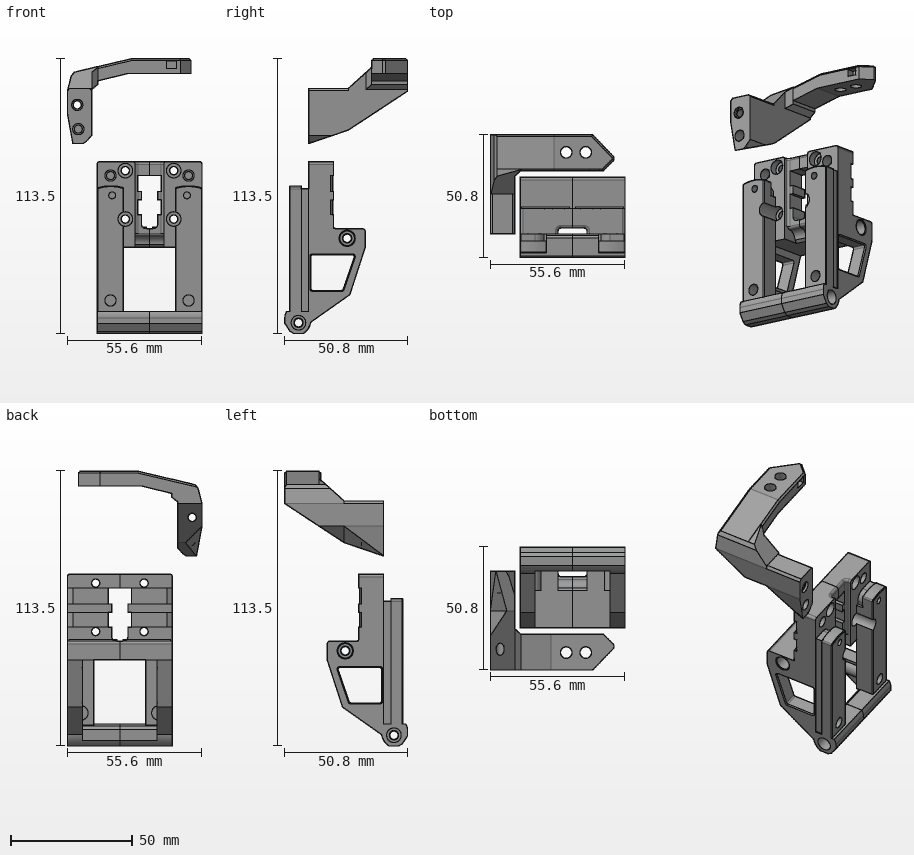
import cadquery as cq
import math


half_width = 21.7
frame_top = 71.1
plate_back = 10.3
block_back = 23.4
block_top = 43.4
block_bottom = 35.6
edge_round = 1.1

leg_thickness = 6.2
leg_knee = (17.0, 16.1)
leg_toe = (0.9, 4.8)
leg_window = [(0.9, 32.5), (19.1, 32.5), (14.1, 17.9), (0.9, 17.9)]
window_corner_radius = 0.7
window_chamfer = 0.5

barrel_axis = (-4.2, 4.5)
barrel_top = 9.2
barrel_front = -9.9

pad_front = -3.0
pad_top = 59.9
pad_inset = 0.5
pad_bottom = 8.9
pad_nose_inner = 11.7
pad_nose_radius = 3.9
pad_nose_bottom = 54.5

post_inner = 10.7
post_front = -8.0
post_outer_top = 60.2
post_crown = (15.7, 61.1)
post_inner_top = 60.3
post_corner_radius = 0.7
post_edge_chamfer = 0.3

channel_half_width = 5.9
channel_depth = 2.3
channel_corner_radius = 1.1
undercut_lip = 1.1
undercut_radius = 3.5
undercut_chamfer = 1.1
groove_depth = 0.3
groove_end_depth = 1.2
groove_ramp = 2.3
upper_groove = (58.8, 65.3)
lower_groove = (49.2, 55.3)
slot_half_width = 3.3
slot_corner_radius = 1.8
foot_size = 0.7
foot_inner = 1.2
foot_end_gap = 0.7

screw_diameter = 3.3
head_diameter = 6.0
head_depth = 3.4
plate_screw_pitch = 20.0
plate_screw_top = 67.3
insert_diameter = 4.7
insert_depth = 5.7
insert_pilot_depth = 9.1
insert_offset = 16.1
plate_insert_height = 65.3
post_insert_height = 13.7
post_insert_depth = 10.2
boss_diameter = 6.0
boss_back = 8.0
post_pin_diameter = 2.8
post_pin_depth = 4.5
post_pin_place = (15.4, 57.1)
cross_hole_diameter = 3.4
cross_hole_chamfer = 0.2
cross_head_depth = 5.7
block_hole_axis = (15.9, 39.4)
block_hole_chamfer = 0.3

arm_left = -33.9
arm_top = 113.5
arm_back = 40.9
arm_front = 26.0
column_right = -23.8
column_depth = 16.3
column_bottom = 78.4
column_top = 101.3
arm_bend_x = -7.6
arm_underside_bend_x = -8.9
arm_underside = 107.4
arm_edge_chamfer = 0.8
inner_corner_x = -21.3
knee_height = 84.0
facet_height = 90.8
facet_inner = -27.2
toe_left = -31.7
column_edge_chamfer = 0.9
column_shoulder_z = 100.8
inner_corner_z = 102.8
arm_left_z = 100.1
beam_heel = [(arm_left, arm_left_z), (-32.4, 106.4), (-31.1, 108.0)]
beam_top_at_corner = 110.3
corner_blend = 2.3
shoulder_slope = 0.9
arm_hole_diameter = 4.7
arm_hole_places = [(-2.6, 33.6), (5.5, 33.6)]
column_through_hole = (-29.9, 94.5)
column_insert_hole = (-29.4, 84.5)
column_recess_depth = 1.1
pocket_x = (7.0, 11.1)
pocket_z = (109.5, 112.5)
pocket_depth = 3.4


def box(x_range, y_range, z_range):
    """Axis-aligned block between pairs of limits."""
    size = [high - low for low, high in (x_range, y_range, z_range)]
    corner = (x_range[0], y_range[0], z_range[0])
    return cq.Workplane("XY").box(*size, centered=False).translate(corner)


def along_x(points, x_from, x_to):
    """Prism along X from a closed (Y, Z) outline."""
    return cq.Workplane("YZ", origin=(x_from, 0, 0)).polyline(points).close().extrude(x_to - x_from)


def along_y(points, y_from, y_to):
    """Prism along Y from a closed (X, Z) outline."""
    return cq.Workplane("XZ", origin=(0, y_from, 0)).polyline(points).close().extrude(y_from - y_to)


def along_z(points, z_from, z_to):
    """Prism along Z from a closed (X, Y) outline."""
    return cq.Workplane("XY", origin=(0, 0, z_from)).polyline(points).close().extrude(z_to - z_from)


def rod_y(place, diameter, y_from, y_to):
    """Cylinder along Y centred on an (X, Z) place."""
    return cq.Workplane("XZ", origin=(0, y_from, 0)).center(*place).circle(diameter / 2).extrude(y_from - y_to)


def rod_x(place, diameter, x_from, x_to):
    """Cylinder along X centred on a (Y, Z) place."""
    return cq.Workplane("YZ", origin=(x_from, 0, 0)).center(*place).circle(diameter / 2).extrude(x_to - x_from)


def plate_and_block():
    plate = box((0, half_width), (0, plate_back), (block_bottom, frame_top))
    plate = plate.edges("|Y and >X and >Z").fillet(edge_round)
    block = box((0, half_width), (0, block_back), (block_bottom, block_top))
    block = block.edges("|X and >Y and >Z").fillet(edge_round)
    foot_outline = [
        (plate_back, block_top),
        (plate_back + foot_size, block_top),
        (plate_back, block_top + foot_size),
    ]
    foot = along_x(foot_outline, foot_inner, half_width - foot_end_gap)
    return plate.union(block).union(foot)


def leg():
    outline = [
        (0, block_bottom),
        (block_back, block_bottom),
        leg_knee,
        leg_toe,
        barrel_axis,
        (barrel_axis[0], barrel_top),
        (0, barrel_top),
    ]
    inner = half_width - leg_thickness
    plate_side = along_x(outline, inner, half_width)
    opening = along_x(leg_window, inner, half_width).edges("|X").fillet(window_corner_radius)
    plate_side = plate_side.cut(opening)
    rim = plate_side.faces(">X").edges(cq.selectors.BoxSelector((inner, 0.6, 17), (half_width + 1.1, 19.3, 32.9)))
    plate_side = plate_side.newObject(rim.vals()).chamfer(window_chamfer)
    boss_place = (insert_offset, post_insert_height)
    boss = rod_y(boss_place, boss_diameter, 0, boss_back)
    return plate_side.union(boss)


def barrel():
    profile = (
        cq.Workplane("YZ")
        .moveTo(0.9, 4.8)
        .threePointArc((-0.3, 1.8), (-2.3, 0))
        .lineTo(-6.1, 0)
        .lineTo(-7.7, 1.0)
        .lineTo(barrel_front, 4.3)
        .lineTo(barrel_front, 6.6)
        .threePointArc((-9.6, 8.1), (-9.1, barrel_top))
        .lineTo(0, barrel_top)
        .lineTo(0, 4.8)
        .close()
        .extrude(half_width)
    )
    inner = half_width - leg_thickness
    behind = box((0, inner), (0, plate_back), (0, barrel_top))
    corner = [
        (0, barrel_top),
        (-1.8, barrel_top),
        (-0.8, 8.3),
        (0, 6.8),
    ]
    return profile.cut(behind).cut(along_x(corner, 0, inner))


def pad():
    outer = half_width - pad_inset
    body = box((post_inner, outer), (pad_front, 0), (pad_bottom, pad_nose_bottom))
    nose = box((pad_nose_inner, outer), (pad_front, 0), (pad_nose_bottom, pad_top))
    nose = nose.edges("|Y and <X and >Z").fillet(pad_nose_radius)
    return body.union(nose)


def post():
    body = (
        cq.Workplane("XZ", origin=(0, pad_front, 0))
        .moveTo(half_width, barrel_top)
        .lineTo(half_width, post_outer_top)
        .threePointArc(post_crown, (post_inner, post_inner_top))
        .lineTo(post_inner, barrel_top)
        .close()
        .extrude(pad_front - post_front)
    )
    top_corners = cq.selectors.BoxSelector(
        (0, post_front, post_outer_top - 0.2), (half_width + 1.1, pad_front, post_inner_top + 0.2)
    )
    body = body.newObject(body.edges("|Y").edges(top_corners).vals()).fillet(post_corner_radius)
    return body.edges("|Z and >X and <Y").chamfer(post_edge_chamfer)


def channel():
    corner = channel_corner_radius
    trough = box((-channel_half_width, channel_half_width), (0, channel_depth), (block_bottom, frame_top))
    trough = trough.edges("|Z and >Y").fillet(corner)
    lip_end = channel_depth + undercut_lip
    back = lip_end + undercut_radius
    chamfer_top = block_bottom + undercut_chamfer
    roof = chamfer_top + undercut_radius
    diagonal = math.sqrt(0.5)
    undercut = (
        cq.Workplane("YZ", origin=(-channel_half_width, 0, 0))
        .moveTo(0, block_bottom)
        .lineTo(back + undercut_chamfer, block_bottom)
        .lineTo(back, chamfer_top)
        .threePointArc(
            (lip_end + undercut_radius * diagonal, chamfer_top + undercut_radius * diagonal),
            (lip_end, roof),
        )
        .threePointArc(
            (lip_end - undercut_lip * diagonal, roof + undercut_lip * (1 - diagonal)),
            (channel_depth, roof + undercut_lip),
        )
        .lineTo(0, roof + undercut_lip)
        .close()
        .extrude(2 * channel_half_width)
    )
    return trough.union(undercut)


def round_channel_mouth(body):
    """Round the rim where the channel opens through the frame top."""
    reach = (channel_half_width + 0.1, channel_depth + 0.1, frame_top + 0.1)
    rim = body.edges(cq.selectors.BoxSelector((-0.1, 0.1, frame_top - 0.1), reach))
    return body.newObject(rim.vals()).fillet(edge_round)


def back_openings():
    floor_half_width = channel_half_width - channel_corner_radius
    shallow = [
        (0, plate_back),
        (0, plate_back - groove_depth),
        (half_width - groove_ramp, plate_back - groove_depth),
        (half_width, plate_back - groove_end_depth),
        (half_width, plate_back),
    ]
    slot = box((-slot_half_width, slot_half_width), (0, plate_back), (block_top, upper_groove[1]))
    slot = slot.edges("|Y and <Z").fillet(slot_corner_radius)
    for groove in (upper_groove, lower_groove):
        slot = slot.union(box((0, floor_half_width), (0, plate_back), groove))
        slot = slot.union(along_z(shallow, *groove))
    return slot


def plate_screw_holes(body):
    for height in (plate_screw_top, plate_screw_top - plate_screw_pitch):
        place = (plate_screw_pitch / 2, height)
        body = body.cut(rod_y(place, screw_diameter, 0, plate_back))
        body = body.cut(rod_y(place, head_diameter, post_front, head_depth))
    return body


def insert_holes(body):
    plate_place = (insert_offset, plate_insert_height)
    body = body.cut(rod_y(plate_place, insert_diameter, 0, insert_depth))
    body = body.cut(rod_y(plate_place, screw_diameter, 0, insert_pilot_depth))
    post_place = (insert_offset, post_insert_height)
    body = body.cut(rod_y(post_place, insert_diameter, post_front, post_front + post_insert_depth))
    return body.cut(rod_y(post_pin_place, post_pin_diameter, post_front, post_front + post_pin_depth))


def cone_x(place, diameter, x_outer, depth):
    """45-degree countersink along X, widest at x_outer, for a hole of the given diameter."""
    rim = cq.Workplane("YZ", origin=(x_outer, 0, 0)).center(*place).circle(diameter / 2 + depth)
    return rim.workplane(offset=-depth).circle(diameter / 2).loft()


def cross_holes(body):
    head_floor = half_width - cross_head_depth
    for place in (block_hole_axis, barrel_axis):
        body = body.cut(rod_x(place, cross_hole_diameter, 0, half_width))
        body = body.cut(rod_x(place, head_diameter, head_floor, half_width))
        body = body.cut(cone_x(place, cross_hole_diameter, head_floor, cross_hole_chamfer))
    return body.cut(cone_x(block_hole_axis, head_diameter, half_width, block_hole_chamfer))


def frame_half():
    body = plate_and_block().union(leg()).union(barrel()).union(pad()).union(post())
    body = body.cut(channel()).cut(back_openings())
    body = round_channel_mouth(body)
    body = plate_screw_holes(body)
    body = insert_holes(body)
    return cross_holes(body)


def beam():
    """Bent beam with a pointed tip and chamfered upper edges."""
    outline = [
        *beam_heel,
        (arm_bend_x, arm_top),
        (22.7, arm_top),
        (22.7, arm_underside),
        (arm_underside_bend_x, arm_underside),
        (inner_corner_x, 104.3),
        (inner_corner_x, inner_corner_z),
        (column_right, column_shoulder_z),
    ]
    plan = [
        (arm_left, arm_front),
        (arm_left, arm_back),
        (8.3, arm_back),
        (17.1, 31.7),
        (17.1, 30.4),
        (12.7, arm_front),
    ]
    body = along_y(outline, arm_front, arm_back)
    body = body.intersect(along_z(plan, 0, arm_top))
    return body


def chamfered_beam():
    body = beam()
    rim = []
    for edge in body.edges().vals():
        middle = edge.Center()
        on_flat = middle.z > arm_top - 0.1 and middle.x > arm_bend_x + 0.1
        on_slope = 110.1 < middle.z < 111.2 and middle.x < arm_bend_x and edge.BoundingBox().ylen < 0.1
        if on_flat or on_slope:
            rim.append(edge)
    return body.newObject(rim).chamfer(arm_edge_chamfer)


def column():
    """Upright with a sloped shoulder, a sloped underside and tapered lower corners."""
    shoulder_end = arm_front + arm_edge_chamfer
    shoulder_rise = shoulder_slope * (shoulder_end - column_depth)
    side = [
        (0, column_bottom),
        (0, column_top),
        (column_depth, column_top),
        (shoulder_end, column_top + shoulder_rise),
        (shoulder_end, inner_corner_z),
        (arm_back, inner_corner_z),
        (arm_back, arm_left_z),
        (column_depth, knee_height),
    ]
    front = [
        (arm_left, facet_height),
        *beam_heel,
        (inner_corner_x, beam_top_at_corner),
        (inner_corner_x, inner_corner_z),
        (column_right, column_shoulder_z),
        (column_right, 81.8),
        (-26.2, 79.2),
        (-27.5, column_bottom),
        (toe_left, column_bottom),
    ]
    body = along_x(side, arm_left, inner_corner_x).intersect(along_y(front, 0, arm_back))
    blend = [
        (column_right, 0),
        (column_right, arm_front - corner_blend),
        (inner_corner_x, arm_front),
        (inner_corner_x, 0),
    ]
    body = body.cut(along_z(blend, 0, arm_top))
    top_edge = [
        (column_right, column_top),
        (column_right - column_edge_chamfer, column_top),
        (column_right, column_top - column_edge_chamfer),
    ]
    body = body.cut(along_y(top_edge, 0, column_depth))
    left_edge = [
        (arm_left, column_top),
        (arm_left + column_edge_chamfer, column_top),
        (arm_left, arm_left_z),
    ]
    return body.cut(along_y(left_edge, 0, column_depth))


def lower_facets():
    """Material removed under the column's outer side: a 45-degree facet that runs out at the toe."""
    drop = 2 * (facet_height - knee_height)
    rear = [
        (arm_left, facet_height),
        (arm_left, facet_height - drop),
        (arm_left + drop, facet_height - drop),
    ]
    shift_x = toe_left - facet_inner
    shift_z = column_bottom - knee_height
    toe = [(x + shift_x, z + shift_z) for x, z in rear]
    straight = along_y(rear, column_depth, arm_back)
    front_wire = cq.Wire.makePolygon([cq.Vector(x, 0, z) for x, z in toe], close=True)
    rear_wire = cq.Wire.makePolygon([cq.Vector(x, column_depth, z) for x, z in rear], close=True)
    running_out = cq.Solid.makeLoft([front_wire, rear_wire], True)
    return straight.union(cq.Workplane(obj=running_out))


def build_arm():
    body = chamfered_beam().union(column()).cut(lower_facets())
    for x, y in arm_hole_places:
        hole = cq.Workplane("XY").center(x, y).circle(arm_hole_diameter / 2).extrude(arm_top)
        body = body.cut(hole)
    body = body.cut(rod_y(column_through_hole, insert_diameter, 0, column_recess_depth))
    body = body.cut(rod_y(column_through_hole, screw_diameter, 0, arm_back))
    body = body.cut(rod_y(column_insert_hole, insert_diameter, 0, insert_depth))
    body = body.cut(rod_y(column_insert_hole, screw_diameter, 0, insert_pilot_depth))
    return body.cut(box(pocket_x, (arm_front, arm_front + pocket_depth), pocket_z))


arm = build_arm()
right_half = frame_half()
left_half = right_half.mirror("YZ")
result = cq.Compound.makeCompound([arm.val(), right_half.val(), left_half.val()])